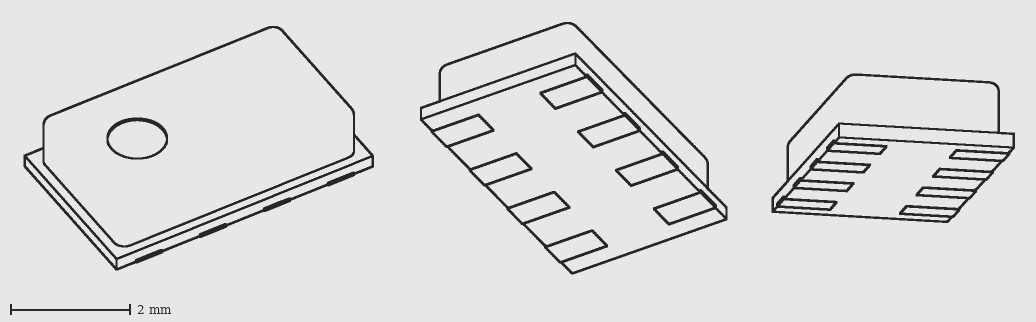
import cadquery as cq

board_width = 3
board_length = 5
board_thickness = 0.24

pad_proud = 0.01
pad_height = 0.05
pad_reach = 0.9
pad_width = 0.5
pad_pitch = 1.25
pads_per_row = 4

lid_margin = 0.175
lid_height = 0.95
lid_corner_radius = 0.2
lid_top_radius = 0.15

port_diameter = 1
port_depth = 0.04
port_offset = 1.2

board_bottom = pad_proud
board_top = board_bottom + board_thickness
lid_top = board_top + lid_height


def make_board():
    return (
        cq.Workplane("XY", origin=(0, 0, board_bottom))
        .rect(board_width, board_length)
        .extrude(board_thickness)
    )


def make_pads():
    pad_length = pad_reach + pad_proud
    row_offset = board_width / 2 + pad_proud - pad_length / 2
    row_spacing = 2 * row_offset
    return (
        cq.Workplane("XY")
        .rarray(row_spacing, pad_pitch, 2, pads_per_row)
        .rect(pad_length, pad_width)
        .extrude(pad_height)
    )


def make_lid():
    return (
        cq.Workplane("XY", origin=(0, 0, board_top))
        .rect(board_width - 2 * lid_margin, board_length - 2 * lid_margin)
        .extrude(lid_height)
        .edges("|Z")
        .fillet(lid_corner_radius)
        .faces(">Z")
        .edges()
        .fillet(lid_top_radius)
    )


def make_port():
    return (
        cq.Workplane("XY", origin=(0, -port_offset, lid_top - port_depth))
        .circle(port_diameter / 2)
        .extrude(port_depth)
    )


result = make_board().union(make_pads()).union(make_lid()).cut(make_port())